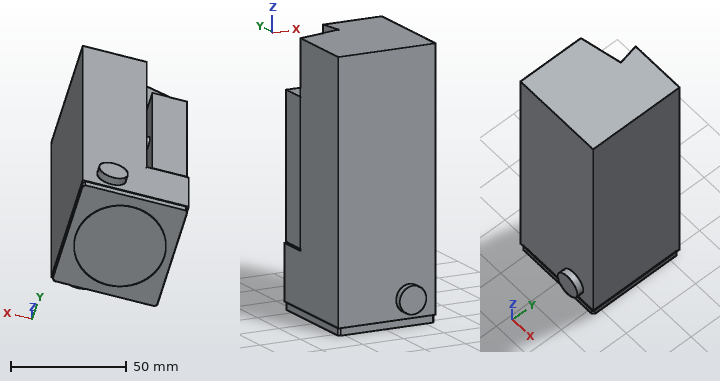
import cadquery as cq
import math

body_width = 48.0
body_depth = 50.0
total_height = 126.35
pin_span = 56.85

plate_height = 3.5
plate_inset = 0.35
plate_corner_chamfer = 1.0
pad_diameter = 40.0
pad_height = 0.35

side_pin_diameter = 13.0
side_pin_x = 11.0
side_pin_z = 13.0

notch_angle = math.radians(12.0)
notch_corner_x = 21.2
notch_corner_y = 10.5
notch_height = 96.0

latch_recess = 0.85
latch_end = 16.5
latch_floor_gap = 0.4
latch_top_drop = 27.0
latch_pin_diameter = 5.79
latch_pin_inset = 6.75

body_bottom = pad_height + plate_height
body_height = total_height - body_bottom
left_x = -body_width / 2
back_y = body_depth / 2
notch_floor_z = total_height - notch_height
latch_bottom_z = notch_floor_z + latch_floor_gap
latch_height = total_height - latch_top_drop - latch_bottom_z
corner_x = left_x + notch_corner_x
corner_y = back_y - notch_corner_y
notch_front_y = corner_y - notch_corner_x * math.tan(notch_angle)
notch_back_x = corner_x - notch_corner_y * math.tan(notch_angle)


def make_body():
    return (
        cq.Workplane("XY")
        .workplane(offset=body_bottom)
        .rect(body_width, body_depth)
        .extrude(body_height)
    )


def notch_prism(bottom_z, height):
    """Prism with the notch outline, rising from bottom_z."""
    return (
        cq.Workplane("XY")
        .workplane(offset=bottom_z)
        .moveTo(left_x, back_y)
        .lineTo(left_x, notch_front_y)
        .lineTo(corner_x, corner_y)
        .lineTo(notch_back_x, back_y)
        .close()
        .extrude(height)
    )


def make_latch():
    """Notch-shaped block, trimmed to its own length along X."""
    latch_length = latch_end - latch_recess
    trim = (
        cq.Workplane("XY")
        .workplane(offset=latch_bottom_z)
        .center(left_x + latch_recess + latch_length / 2, 0)
        .rect(latch_length, body_depth)
        .extrude(latch_height)
    )
    return notch_prism(latch_bottom_z, latch_height).intersect(trim)


def make_latch_pin():
    """Pin along X, bridging the gap from the latch block to the notch wall."""
    return (
        cq.Workplane("YZ")
        .workplane(offset=left_x + latch_end)
        .center(back_y - latch_pin_inset, latch_bottom_z + latch_height / 2)
        .circle(latch_pin_diameter / 2)
        .extrude(corner_x - left_x - latch_end)
    )


def make_base_plate():
    return (
        cq.Workplane("XY")
        .workplane(offset=pad_height)
        .rect(body_width - 2 * plate_inset, body_depth - 2 * plate_inset)
        .extrude(plate_height)
        .edges("|Z")
        .chamfer(plate_corner_chamfer)
    )


def make_pad():
    return cq.Workplane("XY").circle(pad_diameter / 2).extrude(pad_height)


def make_side_pins():
    """One bar through the body whose two ends form the side pins."""
    return (
        cq.Workplane("XZ")
        .center(side_pin_x, side_pin_z)
        .circle(side_pin_diameter / 2)
        .extrude(pin_span / 2, both=True)
    )


result = (
    make_body()
    .cut(notch_prism(notch_floor_z, notch_height))
    .union(make_latch())
    .union(make_latch_pin())
    .union(make_base_plate())
    .union(make_pad())
    .union(make_side_pins())
)